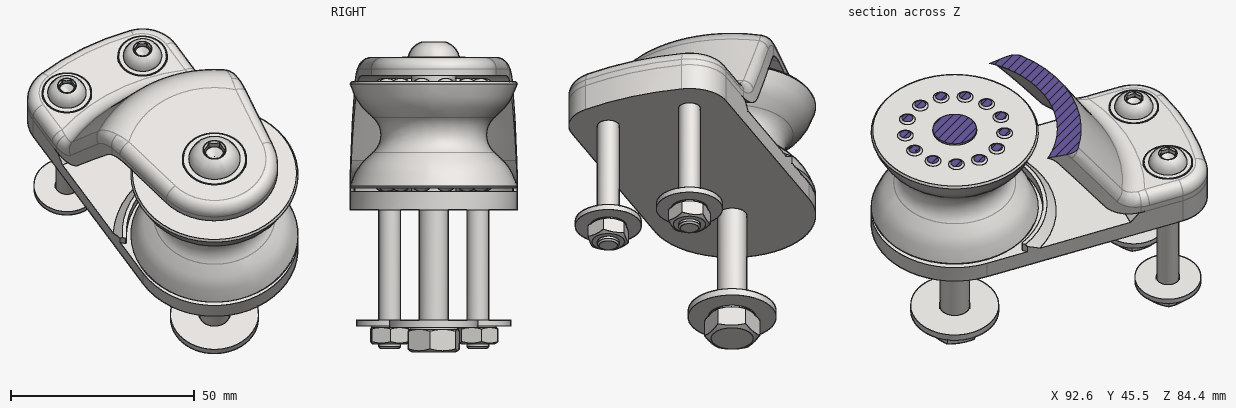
import math

import cadquery as cq


length = 92.57
width = 45.5
half_width = width / 2
back_radius = length - half_width
floor_z = 5.0
pad_z = 7.5
chamfer_run = pad_z - floor_z
rear_pad_front_x = -44.8
saddle_outer_radius = 25.1
saddle_inner_radius = 24.0
saddle_end_x = -10.9
saddle_end_chamfer = 1.0

bolt_spacing = 24.0
bolt_y = bolt_spacing / 2
corner_radius = half_width - bolt_y
bolt_x = -math.sqrt((back_radius - corner_radius) ** 2 - bolt_y**2)

washer_top_z = -30.0
nut_face_ratio = 0.44
head_bulge_ratio = 0.04
socket_rim_scale = 1.06
socket_tip_depth = 1.0
head_washer_depth = 1.0
head_washer_stand = 0.1

foot_shank_diameter = 6.0
foot_tip_z = -37.7
foot_tip_chamfer = 0.5
foot_head_diameter = 10.5
foot_head_flat = 5.1
foot_head_height = 3.2
foot_socket = 4.0
foot_head_washer = 13.0
foot_counterbore = 13.5
foot_washer_diameter = 18.0
foot_washer_hole = 6.4
foot_washer_thickness = 1.6
foot_nut_flats = 10.0
foot_nut_bottom_z = -36.5
foot_nut_top_z = -32.0
foot_nut_turns = {-1: 3, 1: 10}

pin_diameter = 8.0
pin_head_diameter = 14.0
pin_head_flat = 6.3
pin_head_height = 4.1
pin_socket = 5.0
pin_head_washer = 17.0
pin_counterbore = 17.5
pin_washer_diameter = 24.0
pin_washer_hole = 8.4
pin_washer_thickness = 2.0
pin_nut_flats = 13.0
pin_nut_bottom_z = -38.7
pin_nut_top_z = -32.5
pin_nut_turn = -8

plate = 5.0
bracket_top_z = 41.5
foot_top_z = pad_z + plate
foot_seat_z = foot_top_z + head_washer_stand
pin_seat_z = bracket_top_z + head_washer_stand
nose_radius = 17.2
shoulder_start_x = -45.4
taper = math.radians(9.3)
slope = math.radians(60)
inner_bend = 7.0
outer_bend = inner_bend + plate
upper_bend_radius = 24.0
edge_round = 3.2

sheave_bottom_z = 5.9
sheave_top_z = 34.9
sheave_mid_z = (sheave_bottom_z + sheave_top_z) / 2
rim_radius = half_width
rim_height = 0.65
rim_taper = 0.45
waist_radius = 14.4
throat_radius = 16.6
throat_half_height = 4.8
flank_radius = 20.4
flank_half_height = 8.8
bushing_diameter = 12.0
ball_count = 13
ball_diameter = 6.0
ball_circle_radius = 13.6
ball_projection = 0.9


def cylinder(diameter, z_low, z_high):
    return cq.Workplane("XY").workplane(offset=z_low).circle(diameter / 2).extrude(z_high - z_low)


def ring(outer_diameter, inner_diameter, z_low, z_high):
    return cylinder(outer_diameter, z_low, z_high).cut(cylinder(inner_diameter, z_low, z_high))


def hexagon(across_flats, z_low, z_high):
    corners = across_flats / math.cos(math.pi / 6)
    return cq.Workplane("XY").workplane(offset=z_low).polygon(6, corners).extrude(z_high - z_low)


def spin(profile):
    """Revolve a closed (radius, Z) profile about the Z axis."""
    return profile.close().revolve(360, (0, 0, 0), (0, 1, 0))


def on_circle(radius, angle):
    return radius * math.cos(angle), radius * math.sin(angle)


def start_rear_outline():
    """Outline from the front of the right side, around the rear, to the left side over the bolts."""
    corner_angle = math.atan2(bolt_y, -bolt_x)
    rear_x, rear_y = on_circle(back_radius, corner_angle)
    mid_x, mid_y = on_circle(corner_radius, (corner_angle + math.pi / 2) / 2)
    return (
        cq.Workplane("XY")
        .moveTo(bolt_x, -half_width)
        .threePointArc((bolt_x - mid_x, -bolt_y - mid_y), (-rear_x, -rear_y))
        .threePointArc((-back_radius, 0), (-rear_x, rear_y))
        .threePointArc((bolt_x - mid_x, bolt_y + mid_y), (bolt_x, half_width))
    )


def base_plate():
    outline = start_rear_outline().lineTo(0, half_width)
    outline = outline.threePointArc((half_width, 0), (0, -half_width)).close()
    blank = outline.extrude(pad_z)

    pocket = (
        cq.Workplane("XZ", origin=(0, half_width, 0))
        .moveTo(rear_pad_front_x, pad_z)
        .lineTo(rear_pad_front_x + chamfer_run, floor_z)
        .lineTo(half_width, floor_z)
        .lineTo(half_width, pad_z)
        .close()
        .extrude(width)
    )
    saddle = spin(
        cq.Workplane("XZ")
        .moveTo(saddle_inner_radius, floor_z)
        .lineTo(saddle_outer_radius + chamfer_run, floor_z)
        .lineTo(saddle_outer_radius, pad_z)
        .lineTo(saddle_inner_radius, pad_z)
    )
    saddle_length = back_radius + saddle_end_x
    saddle_limit = (
        cq.Workplane("XY", origin=(saddle_end_x - saddle_length / 2, 0, 0))
        .rect(saddle_length, width)
        .extrude(pad_z)
        .edges("|Z and >X")
        .chamfer(saddle_end_chamfer)
    )
    return blank.cut(pocket.cut(saddle.intersect(saddle_limit)))


def shoulder_point(radius, angle):
    """Point on the left shoulder arc, at an angle from the start of the arc."""
    across, along = on_circle(radius, angle)
    return shoulder_start_x + along, half_width - radius + across


def bracket_plan():
    tangent_x, tangent_y = on_circle(nose_radius, math.pi / 2 - taper)
    shoulder_x = tangent_x - (half_width - tangent_y) / math.tan(taper)
    shoulder_length = shoulder_x - shoulder_start_x
    shoulder_radius = shoulder_length / math.tan(taper / 2)
    end_x, end_y = shoulder_point(shoulder_radius, taper)
    mid_x, mid_y = shoulder_point(shoulder_radius, taper / 2)
    return (
        start_rear_outline()
        .lineTo(shoulder_start_x, half_width)
        .threePointArc((mid_x, mid_y), (end_x, end_y))
        .lineTo(tangent_x, tangent_y)
        .threePointArc((nose_radius, 0), (tangent_x, -tangent_y))
        .lineTo(end_x, -end_y)
        .threePointArc((mid_x, -mid_y), (shoulder_start_x, -half_width))
        .close()
        .extrude(bracket_top_z)
    )


def bracket_wall():
    """Bent plate, revolved about the sheave axis so that its slope is a cone."""
    upper_z = bracket_top_z - outer_bend
    lower_z = foot_top_z + inner_bend
    center_gap = outer_bend + inner_bend
    lower_bend_radius = (
        upper_bend_radius + (center_gap + (upper_z - lower_z) * math.cos(slope)) / math.sin(slope)
    )
    limit = back_radius + plate

    def upper(bend, angle):
        r, z = on_circle(bend, math.pi / 2 - angle)
        return upper_bend_radius + r, upper_z + z

    def lower(bend, angle):
        r, z = on_circle(bend, math.pi / 2 - angle)
        return lower_bend_radius - r, lower_z - z

    return spin(
        cq.Workplane("XZ")
        .moveTo(0, bracket_top_z)
        .lineTo(*upper(outer_bend, 0))
        .threePointArc(upper(outer_bend, slope / 2), upper(outer_bend, slope))
        .lineTo(*lower(inner_bend, slope))
        .threePointArc(lower(inner_bend, slope / 2), lower(inner_bend, 0))
        .lineTo(limit, foot_top_z)
        .lineTo(limit, pad_z)
        .lineTo(*lower(outer_bend, 0))
        .threePointArc(lower(outer_bend, slope / 2), lower(outer_bend, slope))
        .lineTo(*upper(inner_bend, slope))
        .threePointArc(upper(inner_bend, slope / 2), upper(inner_bend, 0))
        .lineTo(0, bracket_top_z - plate)
    )


def faces_up(face):
    border_point = face.Edges()[0].positionAt(0.5)
    return face.normalAt(border_point).z > math.cos(slope) / 2


def bracket():
    body = bracket_wall().intersect(bracket_plan())
    skin = [face for face in body.faces().vals() if faces_up(face)]
    wall_edges = body.faces("#Z").edges().vals()
    rim = [edge for face in skin for edge in face.Edges() if any(edge.isSame(other) for other in wall_edges)]
    return body.newObject(rim).fillet(edge_round)


def sheave():
    def profile_point(radius, height):
        return radius, sheave_mid_z + height

    rim_edge = (sheave_top_z - sheave_bottom_z) / 2
    rim_inner = rim_edge - rim_height
    body = spin(
        cq.Workplane("XZ")
        .moveTo(0, sheave_bottom_z)
        .lineTo(*profile_point(rim_radius - rim_taper, -rim_edge))
        .lineTo(*profile_point(rim_radius, -rim_inner))
        .threePointArc(
            profile_point(flank_radius, -flank_half_height),
            profile_point(throat_radius, -throat_half_height),
        )
        .threePointArc(
            profile_point(waist_radius, 0),
            profile_point(throat_radius, throat_half_height),
        )
        .threePointArc(
            profile_point(flank_radius, flank_half_height),
            profile_point(rim_radius, rim_inner),
        )
        .lineTo(*profile_point(rim_radius - rim_taper, rim_edge))
        .lineTo(0, sheave_top_z)
    )
    ball_drop = ball_diameter / 2 - ball_projection
    for index in range(ball_count):
        x, y = on_circle(ball_circle_radius, math.pi + index * 2 * math.pi / ball_count)
        for z in (sheave_bottom_z + ball_drop, sheave_top_z - ball_drop):
            body = body.union(cq.Workplane("XY").sphere(ball_diameter / 2).translate((x, y, z)))
    return body.union(cylinder(bushing_diameter, floor_z, bracket_top_z - plate))


def button_head(diameter, flat_diameter, height, seat_z, socket):
    """Domed head with a hexagon socket that has a countersunk rim and a drilled cone at its floor."""
    radius = diameter / 2
    flat = flat_diameter / 2
    bulge = head_bulge_ratio * diameter
    middle = ((radius + flat) / 2 + bulge, seat_z + height / 2 + bulge)
    top_z = seat_z + height
    head = spin(
        cq.Workplane("XZ")
        .moveTo(0, seat_z)
        .lineTo(radius, seat_z)
        .threePointArc(middle, (flat, top_z))
        .lineTo(0, top_z)
    )
    floor = top_z - height / 2
    socket_radius = socket / math.sqrt(3)
    countersink_radius = socket_radius * socket_rim_scale
    tip = spin(
        cq.Workplane("XZ")
        .moveTo(0, floor - socket_tip_depth)
        .lineTo(socket / 2, floor)
        .lineTo(0, floor)
    )
    countersink = spin(
        cq.Workplane("XZ")
        .moveTo(0, top_z - countersink_radius)
        .lineTo(countersink_radius, top_z)
        .lineTo(0, top_z)
    )
    return head.cut(hexagon(socket, floor, top_z)).cut(tip).cut(countersink)


def nut(across_flats, z_low, z_high, washer_z, turn):
    """Hexagon with both ends chamfered to a circle, on a round bearing face."""
    corner = across_flats / math.sqrt(3)
    low_face = nut_face_ratio * across_flats
    low_chamfer = (corner - low_face) / 2
    high_face = across_flats / 2
    high_chamfer = (corner - high_face) / 2
    envelope = spin(
        cq.Workplane("XZ")
        .moveTo(0, z_low)
        .lineTo(low_face, z_low)
        .lineTo(corner, z_low + low_chamfer)
        .lineTo(corner, z_high - high_chamfer)
        .lineTo(high_face, z_high)
        .lineTo(0, z_high)
    )
    body = hexagon(across_flats, z_low, z_high).intersect(envelope)
    return body.union(cylinder(across_flats, z_high, washer_z)).rotate((0, 0, 0), (0, 0, 1), turn)


def foot_bolt(nut_turn):
    washer_bottom = washer_top_z - foot_washer_thickness
    shank = cylinder(foot_shank_diameter, foot_tip_z, foot_top_z).faces("<Z").chamfer(foot_tip_chamfer)
    head = button_head(foot_head_diameter, foot_head_flat, foot_head_height, foot_seat_z, foot_socket)
    head_washer = cylinder(foot_head_washer, foot_top_z - head_washer_depth, foot_seat_z)
    washer = ring(foot_washer_diameter, foot_washer_hole, washer_bottom, washer_top_z)
    hex_nut = nut(foot_nut_flats, foot_nut_bottom_z, foot_nut_top_z, washer_bottom, nut_turn)
    return shank.union(head_washer).union(head).union(washer).union(hex_nut)


def sheave_bolt():
    washer_bottom = washer_top_z - pin_washer_thickness
    shank = cylinder(pin_diameter, pin_nut_bottom_z, bracket_top_z)
    head = button_head(pin_head_diameter, pin_head_flat, pin_head_height, pin_seat_z, pin_socket)
    head_washer = cylinder(pin_head_washer, bracket_top_z - head_washer_depth, pin_seat_z)
    washer = ring(pin_washer_diameter, pin_washer_hole, washer_bottom, washer_top_z)
    hex_nut = nut(pin_nut_flats, pin_nut_bottom_z, pin_nut_top_z, washer_bottom, pin_nut_turn)
    return shank.union(head_washer).union(head).union(washer).union(hex_nut)


result = base_plate().union(bracket(), clean=False)
result = result.cut(cylinder(pin_counterbore, bracket_top_z - head_washer_depth, bracket_top_z), clean=False)
result = result.union(sheave(), clean=False).union(sheave_bolt(), clean=False)
foot_recess = cylinder(foot_counterbore, foot_top_z - head_washer_depth, foot_top_z)
for side, turn in foot_nut_turns.items():
    place = (bolt_x, side * bolt_y, 0)
    result = result.cut(foot_recess.translate(place), clean=False)
    result = result.union(foot_bolt(turn).translate(place), clean=False)